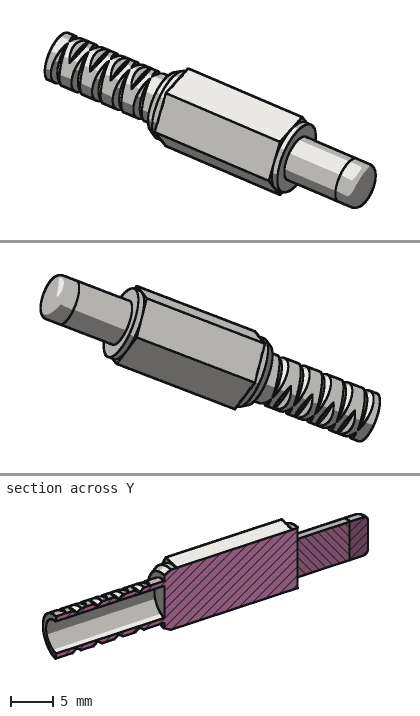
import cadquery as cq
import math

total_length = 42.8
grip_length = 14.85
collar_chamfer_length = 0.9
hex_start = 16.5
hex_end = 32.4
housing_end = 33.15
tip_start = 40.27

hex_sides = 6
across_corners = 10.0
across_flats = across_corners * math.cos(math.pi / hex_sides)
collar_radius = across_flats / 2
collar_chamfer_depth = 0.5
grip_radius = 3.05
bore_radius = 2.25
barrel_radius = 2.8
tip_fillet = 0.75

groove_depth = 0.45
groove_half_width = 0.6
groove_pitch = 2.85
first_groove = 1.45
side_groove_count = 5
upper_groove_count = side_groove_count - 1
side_floor_radius = 3.12
upper_floor_radius = 5.78
groove_cutter_margin = 0.43

start = -total_length / 2

def cylinder(x_from, x_to, radius):
    """Solid cylinder on the X axis between two stations."""
    return cq.Workplane("YZ", origin=(start + x_from, 0, 0)).circle(radius).extrude(x_to - x_from)

def crescent_groove(station, floor_radius, angle):
    """V ring around an axis set back from the grip axis, so the groove fades out sideways.

    At angle 0 the groove is deepest on +Y; the angle turns it about the X axis.
    """
    axis_offset = grip_radius - groove_depth - floor_radius
    rim_rise = groove_depth + groove_cutter_margin
    rim_half_width = groove_half_width * rim_rise / groove_depth
    rim_radius = floor_radius + rim_rise
    ring = (
        cq.Workplane("XY", origin=(start + station, axis_offset, 0))
        .moveTo(0, floor_radius)
        .lineTo(rim_half_width, rim_radius)
        .lineTo(-rim_half_width, rim_radius)
        .close()
        .revolve(360, (0, 0, 0), (1, 0, 0))
    )
    half_space = cq.Workplane("XY").box(total_length, total_length, total_length)
    half_space = half_space.translate((0, total_length / 2, 0))
    return ring.intersect(half_space).rotate((0, 0, 0), (1, 0, 0), angle)

def make_housing():
    """Hexagonal handle with round collars and a hollow, grooved cable grip."""
    collar = cylinder(grip_length, housing_end, collar_radius)
    collar = collar.faces("<X").chamfer(collar_chamfer_length, collar_chamfer_depth)
    hexagon = (
        cq.Workplane("YZ", origin=(start + hex_start, 0, 0))
        .polygon(hex_sides, across_corners)
        .extrude(hex_end - hex_start)
    )
    body = collar.union(hexagon).union(cylinder(0, grip_length, grip_radius))
    body = body.cut(cylinder(0, grip_length, bore_radius))
    for index in range(side_groove_count):
        station = first_groove + index * groove_pitch
        for angle in (0, 180):
            body = body.cut(crescent_groove(station, side_floor_radius, angle))
    for index in range(upper_groove_count):
        station = first_groove + (index + 0.5) * groove_pitch
        for angle in (90, 270):
            body = body.cut(crescent_groove(station, upper_floor_radius, angle))
    return body

def make_barrel():
    """Contact barrel standing on the end of the housing."""
    return cylinder(housing_end, tip_start, barrel_radius)

def make_tip():
    """Rounded insulating tip on the end of the barrel."""
    return cylinder(tip_start, total_length, barrel_radius).faces(">X").edges().fillet(tip_fillet)

housing = make_housing()
barrel = make_barrel()
tip = make_tip()

result = cq.Compound.makeCompound([housing.val(), barrel.val(), tip.val()])